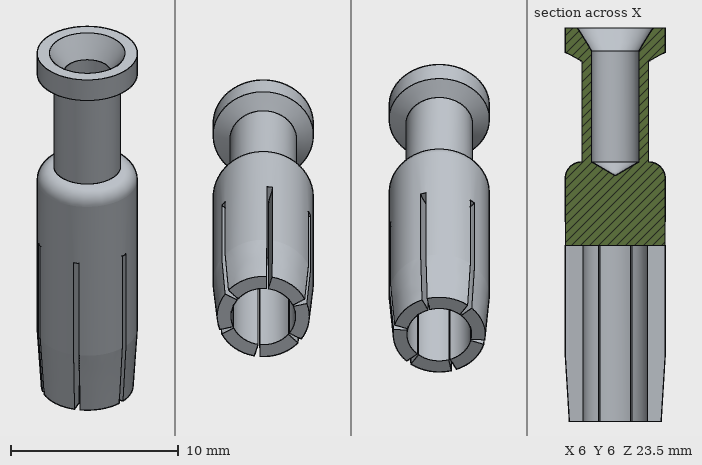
import cadquery as cq

length = 23.5
body_diameter = 6.0
body_radius = body_diameter / 2
head_radius = body_radius
neck_radius = 2.0
tip_radius = 2.75

taper_height = 4.0
shoulder_z = 15.5
shoulder_fillet = body_radius - neck_radius
head_underside_height = 0.55
head_rim_height = 1.45
head_rim_z = length - head_rim_height
neck_top_z = head_rim_z - head_underside_height

mouth_radius = 2.25
cup_radius = 1.4
funnel_depth = 1.36
cup_depth = 8.0
cup_cone_depth = 0.82

socket_radius = 1.93
slot_width = 0.33
slot_inner_width = 0.1
slot_throat_radius = tip_radius
slot_top_z = 10.5
slot_count = 6
first_slot_angle = 30.0


def revolve_profile(profile):
    """Turn a closed (radius, height) profile fully around Z."""
    return profile.close().revolve(360, (0, 0, 0), (0, 1, 0))


def make_outside():
    profile = (
        cq.Workplane("XZ")
        .lineTo(tip_radius, 0)
        .lineTo(body_radius, taper_height)
        .lineTo(body_radius, shoulder_z - shoulder_fillet)
        .radiusArc((body_radius - shoulder_fillet, shoulder_z), -shoulder_fillet)
        .lineTo(neck_radius, neck_top_z)
        .lineTo(head_radius, head_rim_z)
        .lineTo(head_radius, length)
        .lineTo(0, length)
    )
    return revolve_profile(profile)


def make_wire_cup():
    """Conical mouth leading into a drilled hole with a pointed bottom."""
    cup_floor_z = length - cup_depth
    profile = (
        cq.Workplane("XZ")
        .moveTo(0, length)
        .lineTo(mouth_radius, length)
        .lineTo(cup_radius, length - funnel_depth)
        .lineTo(cup_radius, cup_floor_z)
        .lineTo(0, cup_floor_z - cup_cone_depth)
    )
    return revolve_profile(profile)


def make_socket():
    return cq.Workplane("XY").circle(socket_radius).extrude(slot_top_z)


def make_slot(angle):
    """Slot through the wall, open below: parallel outside the throat, narrowing to the socket inside it."""
    half_outer = slot_width / 2
    half_inner = slot_inner_width / 2
    slot = (
        cq.Workplane("XY")
        .moveTo(0, -half_inner)
        .lineTo(socket_radius, -half_inner)
        .lineTo(slot_throat_radius, -half_outer)
        .lineTo(body_radius, -half_outer)
        .lineTo(body_radius, half_outer)
        .lineTo(slot_throat_radius, half_outer)
        .lineTo(socket_radius, half_inner)
        .lineTo(0, half_inner)
        .close()
        .extrude(slot_top_z)
    )
    return slot.rotate((0, 0, 0), (0, 0, 1), angle)


result = make_outside().cut(make_wire_cup()).cut(make_socket())
for index in range(slot_count):
    result = result.cut(make_slot(first_slot_angle + index * 360 / slot_count))